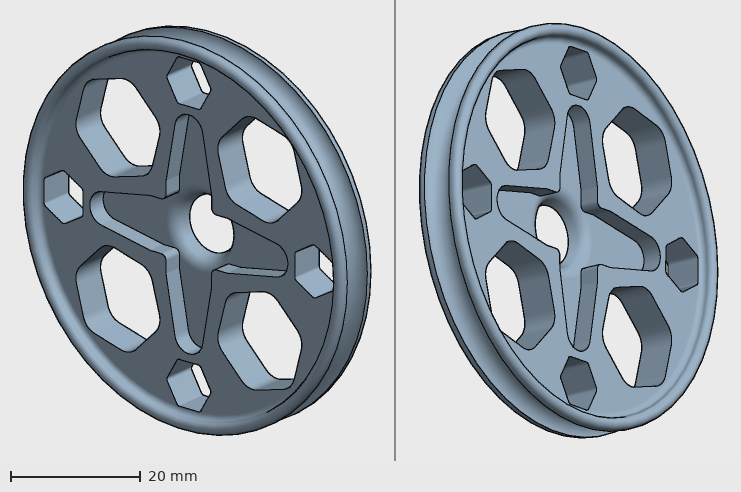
import cadquery as cq
import math

outer_radius = 32.0
rim_width = 8.0
groove_radius = 2.4
rim_round = 1.0
lip_round = 0.95
front_face = -rim_width / 2
back_face = rim_width / 2
crest_radius = outer_radius - rim_round
wall_radius = crest_radius - lip_round
web_radius = wall_radius - lip_round

web_recess = 2.0
pocket_depth = 3.25
web_face = front_face + web_recess
floor_face = web_face + pocket_depth
bore_radius = 4.75
mouth_radius = 7.3
mouth_round = 2.1

arm_count = 4
arm_root_half_width = 4.55
arm_root_end = 7.7
arm_tip_radius = 2.8
arm_length = 19.8
post_round = 0.95

hexagon_sides = 6
small_flats = 7.75
small_distance = 25.0
small_round = 0.65
large_flats = 15.7
large_distance = 20.0
large_round = 3.2


def arc_point(center, radius, angle):
    """Point on a circle at an angle in degrees."""
    a = math.radians(angle)
    return (center[0] + radius * math.cos(a), center[1] + radius * math.sin(a))


def tangent_angle(center, radius, point, side):
    """Direction from a circle's centre to where a tangent from a point touches; side is +1 or -1."""
    dx = point[0] - center[0]
    dy = point[1] - center[1]
    return math.degrees(math.atan2(dy, dx) + side * math.acos(radius / math.hypot(dx, dy)))


def turn(shape, angle):
    """Rotate a shape about the wheel axis."""
    return shape.rotate((0, 0, 0), (0, 1, 0), angle)


def make_wheel():
    """Revolve the wheel section (radius, Y) about the Y axis."""
    front_center = (crest_radius, front_face + rim_round)
    back_center = (crest_radius, back_face - rim_round)
    lip_center = (crest_radius, front_face + lip_round)
    root_center = (web_radius, web_face - lip_round)
    return (
        cq.Workplane("XY")
        .moveTo(0, web_face)
        .lineTo(web_radius, web_face)
        .threePointArc(arc_point(root_center, lip_round, 45), (wall_radius, root_center[1]))
        .lineTo(wall_radius, lip_center[1])
        .threePointArc(arc_point(lip_center, lip_round, -135), (crest_radius, front_face))
        .threePointArc(arc_point(front_center, rim_round, -45), (outer_radius, front_center[1]))
        .lineTo(outer_radius, -groove_radius)
        .threePointArc((outer_radius - groove_radius, 0), (outer_radius, groove_radius))
        .lineTo(outer_radius, back_center[1])
        .threePointArc(arc_point(back_center, rim_round, 45), (crest_radius, back_face))
        .lineTo(0, back_face)
        .close()
        .revolve(360, (0, 0, 0), (0, 1, 0))
    )


def make_window(flats, corner_round, distance, twist):
    """Hexagonal prism through the web, out along +X and twisted about its own axis."""
    prism = (
        cq.Workplane("XZ", origin=(0, back_face, 0))
        .polygon(hexagon_sides, flats / math.cos(math.pi / hexagon_sides))
        .extrude(rim_width)
        .edges("|Y")
        .fillet(corner_round)
    )
    return turn(prism, twist).translate((distance, 0, 0))


def make_arm(depth):
    """Tapered pocket tool pointing along +X, cut to a depth below the web face."""
    tip_center = (arm_length - arm_tip_radius, 0)
    root_corner = (arm_root_end, arm_root_half_width)
    contact_angle = tangent_angle(tip_center, arm_tip_radius, root_corner, -1)
    contact_x, contact_z = arc_point(tip_center, arm_tip_radius, contact_angle)
    return (
        cq.Workplane("XZ", origin=(0, web_face + depth, 0))
        .moveTo(0, -arm_root_half_width)
        .lineTo(arm_root_end, -arm_root_half_width)
        .lineTo(contact_x, -contact_z)
        .threePointArc((arm_length, 0), (contact_x, contact_z))
        .lineTo(arm_root_end, arm_root_half_width)
        .lineTo(0, arm_root_half_width)
        .close()
        .extrude(depth)
    )


def make_cross(depth):
    """Cross of tapered pockets with the posts between them rounded."""
    arm = make_arm(depth)
    cross = arm
    for i in range(1, arm_count):
        cross = cross.union(turn(arm, i * 360 / arm_count))
    reach = 1.1 * arm_root_half_width
    posts = cq.selectors.BoxSelector((-reach, front_face, -reach), (reach, back_face, reach))
    return cross.edges("|Y").edges(posts).fillet(post_round)


def make_bore():
    """Bore with a rounded mouth that runs tangent into a taper; the posts stay uncut."""
    round_center = (mouth_radius, floor_face + mouth_round)
    throat_angle = tangent_angle(round_center, mouth_round, (bore_radius, back_face), 1)
    floor_angle = 270
    mid_angle = (throat_angle + floor_angle) / 2
    bore = (
        cq.Workplane("XY")
        .moveTo(0, floor_face)
        .lineTo(mouth_radius, floor_face)
        .threePointArc(
            arc_point(round_center, mouth_round, mid_angle),
            arc_point(round_center, mouth_round, throat_angle),
        )
        .lineTo(bore_radius, back_face)
        .lineTo(0, back_face)
        .close()
        .revolve(360, (0, 0, 0), (0, 1, 0))
    )
    return bore.intersect(make_cross(back_face - web_face))


result = make_wheel().cut(make_cross(pocket_depth)).cut(make_bore())

small_window = make_window(small_flats, small_round, small_distance, 180 / hexagon_sides)
large_window = make_window(large_flats, large_round, large_distance, 0)
for i in range(arm_count):
    spoke = i * 360 / arm_count
    result = result.cut(turn(small_window, spoke))
    result = result.cut(turn(large_window, spoke + 180 / arm_count))